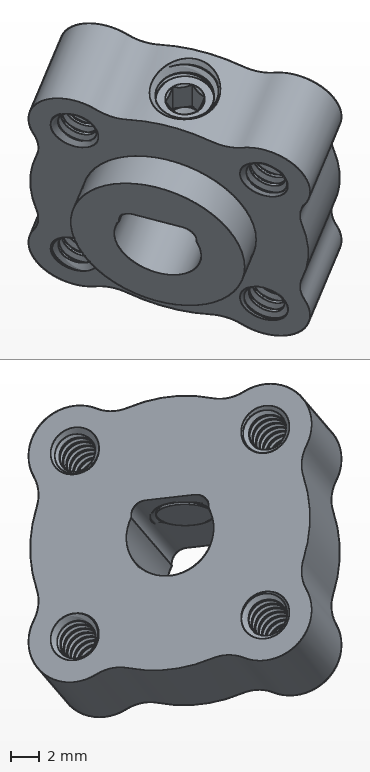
import cadquery as cq
import math

INCH = 25.4
OVERRUN = 1.0

plate_thickness = 0.275 * INCH
hole_circle_diameter = 0.77 * INCH
hole_offset = hole_circle_diameter / 2 / math.sqrt(2)
overall_width = 20.57
lobe_radius = overall_width / 2 - hole_offset
dome_radius = 0.4 * INCH
valley_radius = 3.0

boss_diameter = 0.5 * INCH
boss_length = 0.1 * INCH

bore_radius = 0.125 * INCH
flat_height = 2.645
relief_radius = 1.05
relief_center_x = 1.78

thread_pitch = INCH / 32
root_flat = thread_pitch / 8
flank_half_angle = math.radians(30)
ridge_overlap = 0.03
corner_major_radius = 3.505 / 2
corner_minor_radius = 2.7 / 2
corner_thread_start = -0.48 * thread_pitch
screw_major_radius = 4.826 / 2
screw_minor_radius = 4.04 / 2
screw_mouth_radius = 2.73
screw_thread_start = 1.66
screw_axis_y = plate_thickness / 2

screw_length = 0.25 * INCH
screw_top_z = flat_height + screw_length
screw_turn = -3.5
hex_across_flats = 3 / 32 * INCH
hex_across_corners = hex_across_flats / math.cos(math.radians(30))
socket_depth = 2.4
socket_tip_half_angle = math.radians(60)


def thread_tap(major_radius, minor_radius, length):
    """Core cylinder with a right-hand helical ridge around +Z, the ridge starting at Z = 0."""
    inner_radius = minor_radius - ridge_overlap
    root_half = root_flat / 2
    mouth_half = root_half + (major_radius - inner_radius) * math.tan(flank_half_angle)
    path = cq.Wire.makeHelix(thread_pitch, length, minor_radius)
    profile = cq.Workplane("XZ").polyline([
        (inner_radius, -mouth_half),
        (major_radius, -root_half),
        (major_radius, root_half),
        (inner_radius, mouth_half),
    ]).close()
    ridge = profile.sweep(cq.Workplane(path), isFrenet=True)
    core = (
        cq.Workplane("XY").workplane(offset=-thread_pitch)
        .circle(minor_radius).extrude(length + 2 * thread_pitch)
    )
    return core.union(ridge)


def countersink(mouth_radius, height):
    """45 degree cone on +Z that opens upward and reaches the mouth radius at the given height."""
    top_radius = mouth_radius + OVERRUN
    return (
        cq.Workplane("XZ")
        .polyline([
            (0, height - mouth_radius),
            (top_radius, height + OVERRUN),
            (0, height + OVERRUN),
        ])
        .close().revolve(360, (0, 0), (0, 1))
    )


def plate_outline():
    """Four corner lobes and four shallow domes, blended by concave valleys."""
    lobe_distance = hole_circle_diameter / 2
    valley_distance = dome_radius + valley_radius
    lobe_gap = lobe_radius + valley_radius
    cosine = (valley_distance**2 + lobe_distance**2 - lobe_gap**2) / (2 * valley_distance * lobe_distance)
    valley_spread = math.acos(cosine)

    def polar(radius, angle):
        return cq.Vector(radius * math.cos(angle), radius * math.sin(angle))

    def toward(start, end, distance):
        return start + (end - start).normalized() * distance

    quarter = math.pi / 2
    outline = None
    for corner in range(4):
        lobe_angle = math.pi / 4 + corner * quarter
        lobe_center = polar(lobe_distance, lobe_angle)
        entry_center = polar(valley_distance, lobe_angle - valley_spread)
        exit_center = polar(valley_distance, lobe_angle + valley_spread)
        dome_end = polar(dome_radius, lobe_angle - valley_spread)
        entry_floor = toward(entry_center, (dome_end + lobe_center) * 0.5, valley_radius)
        lobe_start = toward(lobe_center, entry_center, lobe_radius)
        lobe_tip = polar(lobe_distance + lobe_radius, lobe_angle)
        lobe_end = toward(lobe_center, exit_center, lobe_radius)
        dome_start = polar(dome_radius, lobe_angle + valley_spread)
        exit_floor = toward(exit_center, (dome_start + lobe_center) * 0.5, valley_radius)
        dome_top = polar(dome_radius, lobe_angle + quarter / 2)
        next_dome_end = polar(dome_radius, lobe_angle + quarter - valley_spread)
        if outline is None:
            outline = cq.Workplane("XZ").moveTo(dome_end.x, dome_end.y)
        outline = (
            outline
            .threePointArc(entry_floor.toTuple()[:2], lobe_start.toTuple()[:2])
            .threePointArc(lobe_tip.toTuple()[:2], lobe_end.toTuple()[:2])
            .threePointArc(exit_floor.toTuple()[:2], dome_start.toTuple()[:2])
            .threePointArc(dome_top.toTuple()[:2], next_dome_end.toTuple()[:2])
        )
    return outline.close()


def bore_cutter():
    length = plate_thickness + boss_length + 2 * OVERRUN
    start = cq.Workplane("XZ", origin=(0, plate_thickness + OVERRUN, 0))
    above_flat = start.center(0, flat_height + bore_radius).rect(4 * bore_radius, 2 * bore_radius).extrude(length)
    d_shape = start.circle(bore_radius).extrude(length).cut(above_flat)
    relief_z = flat_height - relief_radius
    reliefs = (
        start.pushPoints([(-relief_center_x, relief_z), (relief_center_x, relief_z)])
        .circle(relief_radius).extrude(length)
    )
    between = (
        start.center(0, flat_height - relief_radius / 2)
        .rect(2 * relief_center_x, relief_radius).extrude(length)
    )
    return d_shape.union(reliefs).union(between)


def make_hub():
    plate = plate_outline().extrude(-plate_thickness)
    boss = cq.Workplane("XZ").circle(boss_diameter / 2).extrude(boss_length)
    hub = plate.union(boss).cut(bore_cutter())

    back_sink = countersink(corner_major_radius, plate_thickness)
    front_sink = back_sink.mirror("XY").translate((0, 0, plate_thickness))
    tap = thread_tap(corner_major_radius, corner_minor_radius, plate_thickness + 2 * thread_pitch)
    tap = tap.translate((0, 0, corner_thread_start))
    for cutter in (front_sink, back_sink, tap):
        first_cutter = cutter.rotate((0, 0, 0), (1, 0, 0), -90).translate((-hole_offset, 0, hole_offset))
        for quarter_turn in range(4):
            hub = hub.cut(first_cutter.rotate((0, 0, 0), (0, 1, 0), 90 * quarter_turn))

    mouth = countersink(screw_mouth_radius, dome_radius)
    tap = thread_tap(screw_major_radius, screw_minor_radius, dome_radius + OVERRUN - screw_thread_start)
    hub = hub.cut(mouth.translate((0, screw_axis_y, 0)))
    return hub.cut(tap.translate((0, screw_axis_y, screw_thread_start)))


def make_set_screw():
    screw = cq.Workplane("XY").workplane(offset=flat_height).circle(screw_minor_radius).extrude(screw_length)
    socket_floor_z = screw_top_z - socket_depth
    hexagon = (
        cq.Workplane("XY").workplane(offset=socket_floor_z)
        .polygon(6, hex_across_corners).extrude(socket_depth)
        .rotate((0, 0, 0), (0, 0, 1), 30 + screw_turn)
    )
    corner_radius = hex_across_corners / 2
    flat_radius = hex_across_flats / 2
    chamfer_depth = corner_radius - flat_radius
    lead_in = (
        cq.Workplane("XZ")
        .polyline([
            (0, screw_top_z),
            (corner_radius, screw_top_z),
            (flat_radius, screw_top_z - chamfer_depth),
            (0, screw_top_z - chamfer_depth),
        ])
        .close().revolve(360, (0, 0), (0, 1))
    )
    drill_tip = (
        cq.Workplane("XZ")
        .polyline([
            (0, socket_floor_z),
            (flat_radius, socket_floor_z),
            (0, socket_floor_z - flat_radius / math.tan(socket_tip_half_angle)),
        ])
        .close().revolve(360, (0, 0), (0, 1))
    )
    screw = screw.cut(hexagon).cut(lead_in).cut(drill_tip)
    return screw.translate((0, screw_axis_y, 0))


hub = make_hub()
set_screw = make_set_screw()
result = cq.Compound.makeCompound([hub.val(), set_screw.val()])